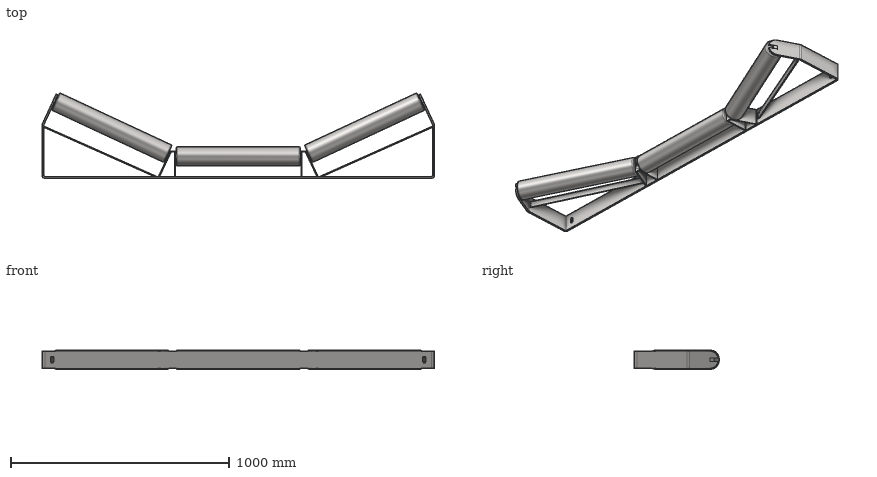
import cadquery as cq
import math

FRAME_LENGTH = 1800.0
STRAP_WIDTH = 80.0
STRAP_THICKNESS = 9.0
CORNER_RADIUS = 13.0
WING_BEND_RADIUS = 25.0
TROUGH_ANGLE = 25.0
SIN_TROUGH = math.sin(math.radians(TROUGH_ANGLE))
COS_TROUGH = math.cos(math.radians(TROUGH_ANGLE))

ROLLER_DIAMETER = 88.0
ROLLER_LENGTH = 569.0
ROLLER_EDGE_RADIUS = 5.0
AXLE_WIDTH = 16.0
AXLE_HEIGHT = 20.0
OVERALL_HEIGHT = 390.0
CENTRE_ROLLER_Y = 100.0
SIDE_ROLLER_X = 580.0
EDGE_ALONG = ROLLER_LENGTH / 2 - ROLLER_EDGE_RADIUS
EDGE_UP = ROLLER_DIAMETER / 2 - ROLLER_EDGE_RADIUS
ROLLER_RISE = EDGE_ALONG * SIN_TROUGH + EDGE_UP * COS_TROUGH + ROLLER_EDGE_RADIUS
SIDE_ROLLER_Y = OVERALL_HEIGHT - ROLLER_RISE

BRACKET_THICKNESS = 5.0
BRACKET_TOP_Y = 126.0
BRACKET_GAP = 4.0
WING_GAP = 4.0
WING_TIP_RISE = 32.0

BRACE_WIDTH = 30.0
BRACE_THICKNESS = 5.0
BRACE_TOP_Y = 240.0
BRACE_FOOT_X = 375.0

MOUNT_SLOT_WIDTH = 16.0
MOUNT_SLOT_HEIGHT = 27.0
MOUNT_SLOT_X = 853.0

INNER_AXLE = BRACKET_GAP + BRACKET_THICKNESS
OUTER_AXLE = WING_GAP + STRAP_THICKNESS


def side_point(along, up):
    """Point in the right side roller's frame: along its axis outward, and square to it."""
    x = SIDE_ROLLER_X + along * COS_TROUGH - up * SIN_TROUGH
    y = SIDE_ROLLER_Y + along * SIN_TROUGH + up * COS_TROUGH
    return (x, y)


def to_side_roller(shape):
    """Move a shape built around the origin along X onto the right side roller's axis."""
    turned = shape.rotate((0, 0, 0), (0, 0, 1), TROUGH_ANGLE)
    return turned.translate((SIDE_ROLLER_X, SIDE_ROLLER_Y, 0))


def mirrored(shape):
    return shape.mirror("YZ")


def plate(points, width):
    """Closed outline in XY, extruded evenly about Z = 0."""
    return cq.Workplane("XY", origin=(0, 0, -width / 2)).polyline(points).close().extrude(width)


def slot_cutter(start, length):
    """Open-topped axle slot crossing a plate, in the frame of a roller at the origin."""
    height = ROLLER_DIAMETER
    slot = cq.Workplane("XY").box(length, height, AXLE_WIDTH, centered=(False, False, True))
    return slot.translate((start, -AXLE_HEIGHT / 2, 0))


def make_roller(left_axle, right_axle):
    """Roller along X with a flat axle stub at each end."""
    end_plane = cq.Workplane("YZ", origin=(-ROLLER_LENGTH / 2, 0, 0))
    barrel = end_plane.circle(ROLLER_DIAMETER / 2).extrude(ROLLER_LENGTH)
    barrel = barrel.faces("<X or >X").edges().fillet(ROLLER_EDGE_RADIUS)
    axle_length = ROLLER_LENGTH + left_axle + right_axle
    axle = cq.Workplane("XY").box(axle_length, AXLE_HEIGHT, AXLE_WIDTH)
    return barrel.union(axle.translate(((right_axle - left_axle) / 2, 0, 0)))


def line_x_at(along, y):
    """X where the plane square to the side roller axis, at that distance along it, has height y."""
    up = (y - side_point(along, 0)[1]) / COS_TROUGH
    return side_point(along, up)[0]


def line_y_at(along, x):
    """Y where the plane square to the side roller axis, at that distance along it, has position x."""
    up = (side_point(along, 0)[0] - x) / SIN_TROUGH
    return side_point(along, up)[1]


def make_frame():
    """One strap: base, two legs, and two wings leaning in to hold the side rollers."""
    half = FRAME_LENGTH / 2
    inner = half - STRAP_THICKNESS
    wing_in = ROLLER_LENGTH / 2 + WING_GAP
    wing_out = wing_in + STRAP_THICKNESS
    outer_bend_y = line_y_at(wing_out, half)
    inner_bend_y = line_y_at(wing_in, inner)
    right_half = plate(
        [
            (0, 0),
            (half, 0),
            (half, outer_bend_y),
            side_point(wing_out, WING_TIP_RISE),
            side_point(wing_in, WING_TIP_RISE),
            (inner, inner_bend_y),
            (inner, STRAP_THICKNESS),
            (0, STRAP_THICKNESS),
        ],
        STRAP_WIDTH,
    )
    for x, y, radius in [
        (half, 0, CORNER_RADIUS),
        (half, outer_bend_y, WING_BEND_RADIUS),
        (inner, STRAP_THICKNESS, CORNER_RADIUS - STRAP_THICKNESS),
        (inner, inner_bend_y, WING_BEND_RADIUS - STRAP_THICKNESS),
    ]:
        right_half = right_half.edges(cq.selectors.NearestToPointSelector((x, y, 0))).fillet(radius)

    tip_radius = STRAP_WIDTH / 2
    round_centre = WING_TIP_RISE - tip_radius
    tip_plane = cq.Workplane("YZ", origin=(wing_in, round_centre, 0))
    upper_half = tip_plane.center(tip_radius / 2, 0).rect(tip_radius, STRAP_WIDTH).extrude(STRAP_THICKNESS)
    corners = upper_half.cut(tip_plane.circle(tip_radius).extrude(STRAP_THICKNESS))
    right_half = right_half.cut(to_side_roller(corners))

    right_half = right_half.cut(to_side_roller(slot_cutter(wing_in, STRAP_THICKNESS)))

    frame = right_half.union(mirrored(right_half))
    slots = (
        cq.Workplane("XZ")
        .pushPoints([(-MOUNT_SLOT_X, 0), (MOUNT_SLOT_X, 0)])
        .slot2D(MOUNT_SLOT_HEIGHT, MOUNT_SLOT_WIDTH, 90)
        .extrude(-STRAP_THICKNESS)
    )
    return frame.cut(slots)


def make_bracket():
    """Folded plate: upright leg at the centre roller, flat top, sloped leg at the side roller."""
    upright_x = ROLLER_LENGTH / 2 + BRACKET_GAP
    near = -ROLLER_LENGTH / 2 - BRACKET_GAP
    far = near - BRACKET_THICKNESS
    under_top = BRACKET_TOP_Y - BRACKET_THICKNESS
    base = STRAP_THICKNESS
    bracket = plate(
        [
            (upright_x, base),
            (upright_x, BRACKET_TOP_Y),
            (line_x_at(near, BRACKET_TOP_Y), BRACKET_TOP_Y),
            (line_x_at(near, base), base),
            (line_x_at(far, base), base),
            (line_x_at(far, under_top), under_top),
            (upright_x + BRACKET_THICKNESS, under_top),
            (upright_x + BRACKET_THICKNESS, base),
        ],
        STRAP_WIDTH,
    )
    upright_slot = slot_cutter(upright_x, BRACKET_THICKNESS).translate((0, CENTRE_ROLLER_Y, 0))
    sloped_slot = to_side_roller(slot_cutter(far, BRACKET_THICKNESS))
    return bracket.cut(upright_slot).cut(sloped_slot)


def make_brace():
    """Slanted flat bar, its ends cut to sit against the leg and the base."""
    leg_x = FRAME_LENGTH / 2 - STRAP_THICKNESS
    base = STRAP_THICKNESS
    slope = math.atan2(BRACE_TOP_Y - base, leg_x - BRACE_FOOT_X)
    drop = BRACE_THICKNESS / math.cos(slope)
    shift = BRACE_THICKNESS / math.sin(slope)
    return plate(
        [
            (BRACE_FOOT_X, base),
            (leg_x, BRACE_TOP_Y),
            (leg_x, BRACE_TOP_Y - drop),
            (BRACE_FOOT_X + shift, base),
        ],
        BRACE_WIDTH,
    )


frame = make_frame()
centre_roller = make_roller(INNER_AXLE, INNER_AXLE).translate((0, CENTRE_ROLLER_Y, 0))
right_roller = to_side_roller(make_roller(INNER_AXLE, OUTER_AXLE))
bodies = [frame.val(), centre_roller.val()]
for side_body in [right_roller, make_bracket(), make_brace()]:
    bodies.append(side_body.val())
    bodies.append(mirrored(side_body).val())

result = cq.Compound.makeCompound(bodies)